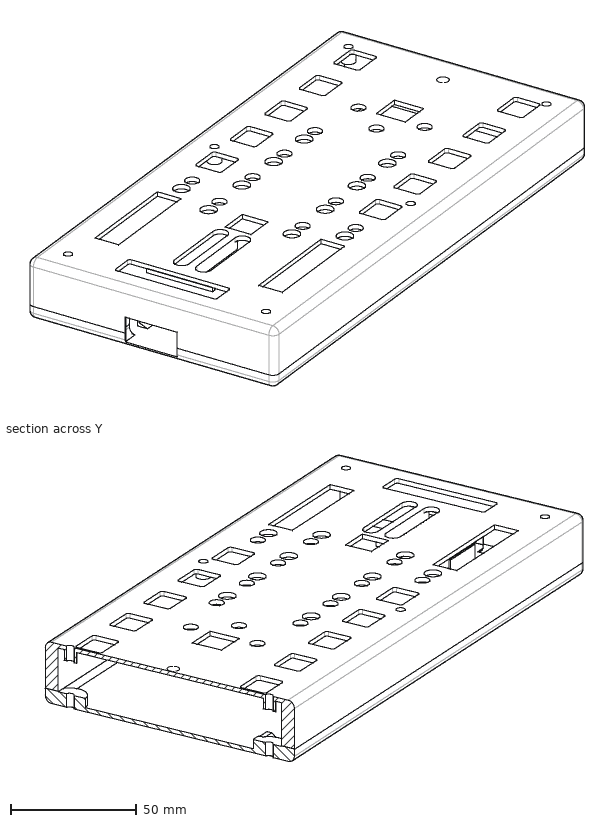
import cadquery as cq
import math

LENGTH_X = 116.8
LENGTH_Y = 234.8
HEIGHT = 26.8
BASE_HEIGHT = 6.0
EDGE_RADIUS = 3.0
WALL = 6.2
FRONT_WALL = 7.4
ROOF = 2.0
FLOOR = 2.0

SCREW_DIAMETER = 3.7
SCREW_X = 46.6
SCREW_Y = 105.4
MIDDLE_SCREW_X = 46.2
MIDDLE_SCREW_Y = 4.0
SCREW_POINTS = [(side * SCREW_X, end * SCREW_Y) for side in (-1, 1) for end in (-1, 1)]
SCREW_POINTS += [(side * MIDDLE_SCREW_X, MIDDLE_SCREW_Y) for side in (-1, 1)]
LID_BOSS_DIAMETER = 6.0
BASE_BOSS_DIAMETER = 14.4
LID_BOSS_DROP = 4.6

PANEL_X = 0.3
CORNER_RADIUS = 1.2

BUTTON_X = 38.5
BUTTON_WIDTH = 12.2
BUTTON_LENGTH = 14.1
BUTTON_TOP_Y = 97.0
BUTTON_PITCH = 25.95
BUTTON_ROWS = 5

SMALL_HOLE = 6.0
LARGE_HOLE = 7.0
HOLE_PAIR_SPACING = 8.1
INNER_PAIR_X = 19.6
INNER_PAIR_Y = (36.6, 13.7, -10.2, -35.2)
OUTER_PAIR_Y = -25.5

TRIO_X = 15.6
TRIO_Y = 62.9
TRIO_CENTRE_Y = 51.5

UPPER_SQUARE = 13.7
UPPER_SQUARE_Y = 69.2
LOWER_WIDTH = 12.2
LOWER_LENGTH = 12.8
LOWER_SQUARE_Y = -46.0

SLIDER_CENTRE_X = -0.75
SLIDER_X = 38.5
SLIDER_WIDTH = 11.1
SLIDER_LENGTH = 46.9
SLIDER_Y = -64.5

SLOT_CENTRE_X = 0.65
SLOT_WIDTH = 6.7
SLOT_LENGTH = 35.6
SLOT_SPACING = 10.4
SLOT_Y = -72.6

PORT_WIDTH = 47.8
PORT_LENGTH = 11.0
PORT_Y = -101.75

LAMP_DIAMETER = 5.04
LAMP_SKIN = 0.3
LAMP_Y = 101.6

CUT_DEPTH = ROOF + LID_BOSS_DROP
CUT_BOTTOM = HEIGHT - CUT_DEPTH

SLOT_RIB_DROP = 3.9
SLOT_RIB_Y_MAX = -56.5
SLOT_RIB_Y_MIN = -91.0
PORT_RIB_LENGTH = 31.0
PORT_RIB_SETBACK = 0.3
PORT_RIB_DROP = 2.0
PORT_RIB_THICKNESS = 2.0

MOUTH_WIDTH = 24.4
MOUTH_DEPTH = 0.7
TUNNEL_WIDTH = 29.6
TUNNEL_TOP = 13.2
TUNNEL_RADIUS = 2.8

GUIDE_FOOT_X = 10.7
GUIDE_INNER_X = 14.7
GUIDE_THICKNESS = 0.7
GUIDE_FOOT_SLOPE = 22.5
GUIDE_TOP = 8.7
GUIDE_FRONT_Y = -103.0
GUIDE_LENGTH = 19.0

RIB_X_MIN = -41.4
RIB_X_MAX = -39.1
RIB_STEP_Y = 100.7
RIB_RAMP_Y = 94.4
RIB_STEP_DROP = 0.5


def rounded_block(z_bottom, z_top, cap_side):
    block = cq.Workplane("XY").box(LENGTH_X, LENGTH_Y, z_top - z_bottom, centered=(True, True, False))
    block = block.translate((0, 0, z_bottom))
    return block.edges("|Z").fillet(EDGE_RADIUS).faces(cap_side).edges().fillet(EDGE_RADIUS)


def block_between(x_min, x_max, y_min, y_max, z_min, z_max):
    block = cq.Workplane("XY").box(x_max - x_min, y_max - y_min, z_max - z_min, centered=False)
    return block.translate((x_min, y_min, z_min))


def cavity(z_bottom, z_top):
    half_x = LENGTH_X / 2 - WALL
    half_y = LENGTH_Y / 2
    return block_between(-half_x, half_x, FRONT_WALL - half_y, half_y - WALL, z_bottom, z_top)


def cable_opening():
    front_y = -LENGTH_Y / 2
    back_y = front_y + FRONT_WALL
    mouth = block_between(-MOUTH_WIDTH / 2, MOUTH_WIDTH / 2, front_y, back_y, FLOOR, TUNNEL_TOP)
    tunnel = block_between(
        -TUNNEL_WIDTH / 2, TUNNEL_WIDTH / 2, front_y + MOUTH_DEPTH, back_y, FLOOR, TUNNEL_TOP
    )
    return mouth.union(tunnel.edges("|Y").fillet(TUNNEL_RADIUS))


def screw_holes():
    return cq.Workplane("XY").pushPoints(SCREW_POINTS).circle(SCREW_DIAMETER / 2).extrude(HEIGHT)


def mirrored(x, y, centre_x=PANEL_X):
    return [(centre_x - x, y), (centre_x + x, y)]


def panel_cut(points):
    return cq.Workplane("XY").workplane(offset=CUT_BOTTOM).pushPoints(points)


def panel_openings():
    buttons = []
    for row in range(BUTTON_ROWS):
        buttons += mirrored(BUTTON_X, BUTTON_TOP_Y - row * BUTTON_PITCH)
    small = mirrored(TRIO_X, TRIO_Y) + [(PANEL_X, TRIO_CENTRE_Y)] + mirrored(BUTTON_X, OUTER_PAIR_Y)
    large = mirrored(BUTTON_X, OUTER_PAIR_Y - HOLE_PAIR_SPACING)
    for y in INNER_PAIR_Y:
        small += mirrored(INNER_PAIR_X, y)
        large += mirrored(INNER_PAIR_X, y - HOLE_PAIR_SPACING)
    sliders = mirrored(SLIDER_X, SLIDER_Y, SLIDER_CENTRE_X)
    slots = mirrored(SLOT_SPACING / 2, SLOT_Y, SLOT_CENTRE_X)
    port = panel_cut([(PANEL_X, PORT_Y)]).rect(PORT_WIDTH, PORT_LENGTH).extrude(CUT_DEPTH)
    button_cuts = panel_cut(buttons).rect(BUTTON_WIDTH, BUTTON_LENGTH).extrude(CUT_DEPTH)
    return [
        button_cuts.edges("|Z").fillet(CORNER_RADIUS),
        panel_cut(small).circle(SMALL_HOLE / 2).extrude(CUT_DEPTH),
        panel_cut(large).circle(LARGE_HOLE / 2).extrude(CUT_DEPTH),
        panel_cut([(PANEL_X, UPPER_SQUARE_Y)]).rect(UPPER_SQUARE, UPPER_SQUARE).extrude(CUT_DEPTH),
        panel_cut([(PANEL_X, LOWER_SQUARE_Y)]).rect(LOWER_WIDTH, LOWER_LENGTH).extrude(CUT_DEPTH),
        panel_cut(sliders).rect(SLIDER_WIDTH, SLIDER_LENGTH).extrude(CUT_DEPTH),
        panel_cut(slots).slot2D(SLOT_LENGTH, SLOT_WIDTH, 90).extrude(CUT_DEPTH),
        port.edges("|Z").fillet(CORNER_RADIUS),
    ]


def screw_bosses(diameter, z_bottom, z_top):
    bosses = cq.Workplane("XY").workplane(offset=z_bottom).pushPoints(SCREW_POINTS)
    return bosses.circle(diameter / 2).extrude(z_top - z_bottom)


def slot_rib():
    half_gap = (SLOT_SPACING - SLOT_WIDTH) / 2
    left_x = SLOT_CENTRE_X - half_gap
    right_x = SLOT_CENTRE_X + half_gap
    roof_z = HEIGHT - ROOF
    return block_between(left_x, right_x, SLOT_RIB_Y_MIN, SLOT_RIB_Y_MAX, roof_z - SLOT_RIB_DROP, roof_z)


def port_rib():
    front_y = PORT_Y + PORT_LENGTH / 2 + PORT_RIB_SETBACK
    half = PORT_RIB_LENGTH / 2
    roof_z = HEIGHT - ROOF
    return block_between(-half, half, front_y, front_y + PORT_RIB_THICKNESS, roof_z - PORT_RIB_DROP, roof_z)


def lid():
    roof_z = HEIGHT - ROOF
    body = rounded_block(BASE_HEIGHT, HEIGHT, ">Z").cut(cavity(BASE_HEIGHT, roof_z))
    body = body.union(screw_bosses(LID_BOSS_DIAMETER, CUT_BOTTOM, roof_z))
    body = body.union(slot_rib()).union(port_rib())
    for opening in panel_openings():
        body = body.cut(opening)
    lamp = cq.Workplane("XY").workplane(offset=roof_z).center(PANEL_X, LAMP_Y)
    body = body.cut(lamp.circle(LAMP_DIAMETER / 2).extrude(ROOF - LAMP_SKIN))
    return body.cut(cable_opening()).cut(screw_holes())


def cable_guide(side):
    foot_rise = (GUIDE_INNER_X - GUIDE_FOOT_X) * math.tan(math.radians(GUIDE_FOOT_SLOPE))
    outer_x = GUIDE_INNER_X + GUIDE_THICKNESS
    outline = [
        (side * GUIDE_FOOT_X, FLOOR),
        (side * GUIDE_INNER_X, FLOOR + foot_rise),
        (side * GUIDE_INNER_X, GUIDE_TOP),
        (side * outer_x, GUIDE_TOP),
        (side * outer_x, FLOOR),
    ]
    profile = cq.Workplane("XZ", origin=(0, GUIDE_FRONT_Y, 0)).polyline(outline).close()
    return profile.extrude(-GUIDE_LENGTH)


def boss_rib():
    step_z = BASE_HEIGHT - RIB_STEP_DROP
    outline = [
        (SCREW_Y, FLOOR),
        (SCREW_Y, BASE_HEIGHT),
        (RIB_STEP_Y, BASE_HEIGHT),
        (RIB_STEP_Y, step_z),
        (RIB_RAMP_Y, step_z),
        (RIB_RAMP_Y - (step_z - FLOOR), FLOOR),
    ]
    profile = cq.Workplane("YZ", origin=(RIB_X_MIN, 0, 0)).polyline(outline).close()
    return profile.extrude(RIB_X_MAX - RIB_X_MIN)


def base():
    body = rounded_block(0, BASE_HEIGHT, "<Z").cut(cavity(FLOOR, BASE_HEIGHT))
    body = body.union(screw_bosses(BASE_BOSS_DIAMETER, FLOOR, BASE_HEIGHT)).union(boss_rib())
    for side in (-1, 1):
        body = body.union(cable_guide(side))
    return body.cut(cable_opening()).cut(screw_holes())


result = cq.Compound.makeCompound([lid().val(), base().val()])